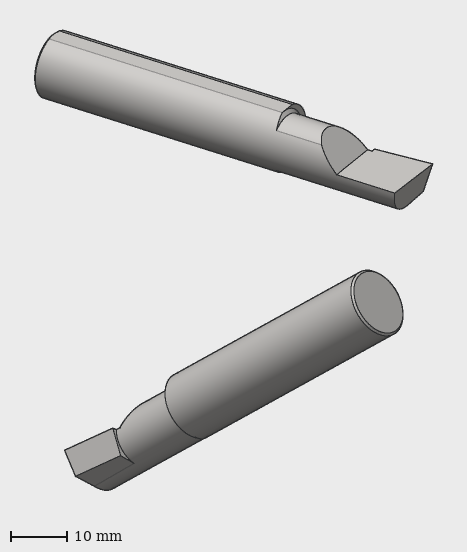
import cadquery as cq
import math

length = 76.2
margin = 15.25

shank_radius = 6.3
shank_length = 49.4
flat_height = 6.1
back_chamfer = 0.4

neck_radius = 5.4
neck_offset = -1.3
shoulder_cone = 0.7

rake_face_start = 63.7

head_start = 64.6
head_length = length - head_start
head_root_y = 4.95
head_tip_y = 6.0
side_relief = 1.9
head_depth = 4.95
head_overlap = 0.8

end_clearance_angle = 8.0
end_skew = 0.3
end_skew_angle = math.degrees(math.atan2(end_skew, head_tip_y + shank_radius))


def make_shank(end_x):
    return cq.Workplane("YZ").circle(shank_radius).extrude(end_x)


def make_flatted_shank():
    shank = make_shank(shank_length).faces("<X").chamfer(back_chamfer)
    above_flat = (
        cq.Workplane("XY", origin=(0, 0, flat_height))
        .rect(2 * length, 4 * shank_radius)
        .extrude(margin)
    )
    return shank.cut(above_flat)


def make_neck():
    """Neck and its conical shoulder, kept inside the shank cylinder."""
    neck = (
        cq.Workplane("XY")
        .moveTo(shank_length, 0)
        .lineTo(shank_length, neck_radius + shoulder_cone)
        .lineTo(shank_length + shoulder_cone, neck_radius)
        .lineTo(length, neck_radius)
        .lineTo(length, 0)
        .close()
        .revolve(360, (0, 0, 0), (1, 0, 0))
        .translate((0, neck_offset, 0))
    )
    return neck.intersect(make_shank(length))


def head_section(top_y):
    """Head outline in YZ, from inside the neck to the relieved flank."""
    return [
        (neck_offset, head_overlap),
        (top_y, head_overlap),
        (top_y, 0),
        (top_y - side_relief, -head_depth),
        (neck_offset, -neck_radius),
    ]


def make_head():
    return (
        cq.Workplane("YZ", origin=(head_start, 0, 0))
        .polyline(head_section(head_root_y)).close()
        .workplane(offset=head_length)
        .polyline(head_section(head_tip_y)).close()
        .loft(ruled=True)
    )


def make_rake_cut():
    """Space above the rake face and its sloping run-out."""
    return (
        cq.Workplane("XZ")
        .moveTo(rake_face_start, 0)
        .lineTo(length + margin, 0)
        .lineTo(length + margin, margin)
        .lineTo(rake_face_start - margin, margin)
        .close()
        .extrude(margin, both=True)
    )


def make_end_cut():
    """Space beyond the end face, turned about the cutting corner."""
    setback = margin * math.tan(math.radians(end_clearance_angle))
    corner = (length, head_tip_y, 0)
    return (
        cq.Workplane("XZ", origin=corner)
        .moveTo(0, 0)
        .lineTo(margin, 0)
        .lineTo(margin, -margin)
        .lineTo(-setback, -margin)
        .close()
        .extrude(2 * margin, both=True)
        .rotate(corner, (length, head_tip_y, 1), -end_skew_angle)
    )


result = (
    make_flatted_shank()
    .union(make_neck())
    .union(make_head())
    .cut(make_rake_cut())
    .cut(make_end_cut())
)